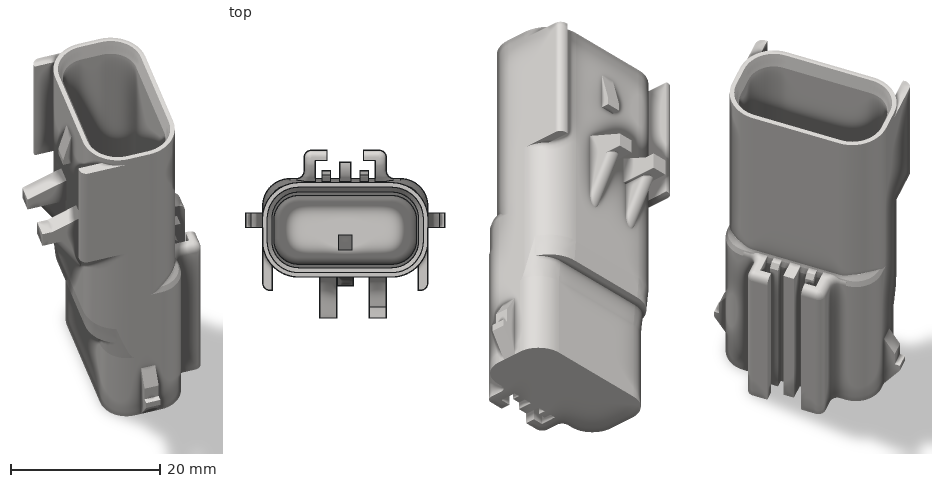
import cadquery as cq
import math

total_height = 50.7
body_width = 22.15

shroud_depth = 12.7
shroud_corner = 4.85
shroud_front = -shroud_depth / 2
shroud_skirt_bottom = 14.5
shroud_skirt_top = 17.5
skirt_draft = 5

housing_front = -4.3
housing_back = 6.9
housing_depth = housing_back - housing_front
housing_center = (housing_front + housing_back) / 2
housing_corner = 3.7
housing_height = 23.0
shoulder_rise = 0.8
shoulder_draft = 20
shoulder_cap_rise = 0.75
shoulder_cap_draft = 36
flare_bottom = 11.45

rim_width = 20.95
rim_depth = 11.45
rim_corner = 4.25
cavity_width = 19.65
cavity_depth = 10.15
cavity_corner = 3.6
lead_in_height = 1.8
cavity_floor = 20.3
island_width = 19.15
island_depth = 9.25
island_corner = 3.35
island_height = 1.5
island_round = 0.85
socket_width = 1.9
socket_length = 2.05
socket_center = -1.65
socket_depth = 2.55

latch_reach = 26.7 / 2
latch_step = 12.6
latch_front = 0.3
latch_width = 2.0
latch_tip_bottom = 3.5
latch_tip_top = 4.45
latch_ramp_bottom = 6.55
latch_top = 8.95

fin_thickness = 1.3
fin_front = -8.1
fin_root = -1.4
fin_round = 1
fin_bottom = 32.25
fin_top = 49.7

key_width = 2.2
key_front = -7.5
key_bottom = 41.25
key_edge = 42.25
key_top = 46.55

hook_front = -11.8
hook_width = 2.35
hook_nose_top = 33.55
left_hook_x = -3.45
left_hook_root_top = 35.6
left_nose_bottom = 31.65
right_hook_x = 3.2
right_hook_root_top = 35.15
right_nose_bottom = 31.3
right_nose_flat_end = -10.35
web_width = 1.9
web_root = 26.55
web_angle = 60

rail_back = 10.7
rail_height = 24.0
rail_outer = 5.55
rail_inner = 4.0
rail_round = 1
lip_inner = 2.45
lip_front = 9.3
center_rib_width = 1.5
center_rib_back = 9.1
small_rib_width = 1.15
small_rib_offset = 2.55
small_rib_back = 7.95
small_rib_chamfer = 0.6

root_overlap = 0.3


def rounded_prism(width, depth, corner, bottom, height, draft=0, center_y=0):
    """Upright rounded-rectangle prism; a positive draft narrows it upwards."""
    outline = cq.Sketch().rect(width, depth).vertices().fillet(corner)
    return (
        cq.Workplane("XY", origin=(0, center_y, bottom))
        .placeSketch(outline)
        .extrude(height, taper=draft)
    )


def block(x_min, x_max, y_min, y_max, z_min, z_max):
    size = (x_max - x_min, y_max - y_min, z_max - z_min)
    return cq.Workplane("XY").box(*size, centered=False).translate((x_min, y_min, z_min))


def side_profile(points, x_min, width):
    """Extrude a (Y, Z) outline along +X."""
    return cq.Workplane("YZ", origin=(x_min, 0, 0)).polyline(points).close().extrude(width)


def both_sides(shape):
    return shape.union(shape.mirror("YZ"))


def make_shroud():
    tube_height = total_height - shroud_skirt_top
    tube = rounded_prism(body_width, shroud_depth, shroud_corner, shroud_skirt_top, tube_height)
    skirt_height = shroud_skirt_top - shroud_skirt_bottom
    skirt = (
        rounded_prism(body_width, shroud_depth, shroud_corner, 0, skirt_height, skirt_draft)
        .mirror("XY")
        .translate((0, 0, shroud_skirt_top))
    )
    return tube.union(skirt)


def make_housing():
    footprint = (body_width, housing_depth, housing_corner)
    lower = rounded_prism(*footprint, 0, housing_height, center_y=housing_center)
    shoulder = rounded_prism(
        *footprint, housing_height, shoulder_rise, shoulder_draft, housing_center
    )
    band_inset = shoulder_rise * math.tan(math.radians(shoulder_draft))
    cap = rounded_prism(
        body_width - 2 * band_inset,
        housing_depth - 2 * band_inset,
        housing_corner - band_inset,
        housing_height + shoulder_rise,
        shoulder_cap_rise,
        shoulder_cap_draft,
        housing_center,
    )
    flare_height = shroud_skirt_top - flare_bottom
    flare = rounded_prism(*footprint, flare_bottom, flare_height, -skirt_draft, housing_center)
    limit = rounded_prism(body_width, shroud_depth, shroud_corner, flare_bottom, flare_height)
    return lower.union(shoulder).union(cap).union(flare.intersect(limit))


def make_cavity():
    bore = rounded_prism(
        cavity_width, cavity_depth, cavity_corner, cavity_floor, total_height - cavity_floor
    )
    lead_in_bottom = total_height - lead_in_height
    lead_in = (
        cq.Workplane("XY", origin=(0, 0, lead_in_bottom))
        .placeSketch(
            cq.Sketch().rect(cavity_width, cavity_depth).vertices().fillet(cavity_corner),
            cq.Sketch().rect(rim_width, rim_depth).vertices().fillet(rim_corner)
            .moved(cq.Location(cq.Vector(0, 0, lead_in_height))),
        )
        .loft()
    )
    island = rounded_prism(
        island_width, island_depth, island_corner, cavity_floor, island_height
    )
    island = island.faces(">Z").edges().fillet(island_round)
    island_top = cavity_floor + island_height
    socket = block(
        -socket_width / 2, socket_width / 2,
        socket_center - socket_length / 2, socket_center + socket_length / 2,
        island_top - socket_depth, island_top,
    )
    return bore.union(lead_in).cut(island).union(socket)


def make_latches():
    wall = body_width / 2
    root = wall - root_overlap
    outline = [
        (root, 0),
        (wall, 0),
        (latch_reach, latch_tip_bottom),
        (latch_reach, latch_tip_top),
        (latch_step, latch_tip_top),
        (latch_step, latch_ramp_bottom),
        (wall, latch_top),
        (root, latch_top),
    ]
    latch = (
        cq.Workplane("XZ", origin=(0, latch_front, 0))
        .polyline(outline)
        .close()
        .extrude(-latch_width)
    )
    return both_sides(latch)


def make_fins():
    wall = body_width / 2
    fin = block(wall - fin_thickness, wall, fin_front, fin_root, fin_bottom, fin_top)
    return both_sides(fin.edges("|Z and >X and <Y").fillet(fin_round))


def make_key():
    root = shroud_front + root_overlap
    outline = [
        (root, key_bottom),
        (key_front, key_bottom),
        (key_front, key_edge),
        (shroud_front, key_top),
        (root, key_top),
    ]
    return side_profile(outline, -key_width / 2, key_width)


def make_hook(x_min, web_x_min, top_line, nose_bottom):
    """Hook on the front wall: a sloped arm carried by a slanted web with a rounded edge."""
    root = shroud_front + root_overlap
    arm = side_profile(
        [
            (root, nose_bottom),
            (hook_front, nose_bottom),
            *top_line,
            (root, top_line[-1][1]),
        ],
        x_min,
        hook_width,
    )
    run = (nose_bottom - web_root) / math.tan(math.radians(web_angle))
    web = side_profile(
        [
            (root, web_root),
            (shroud_front, web_root),
            (shroud_front - run, nose_bottom),
            (root, nose_bottom),
        ],
        web_x_min,
        web_width,
    )
    direction = cq.Vector(
        0, -math.cos(math.radians(web_angle)), math.sin(math.radians(web_angle))
    )
    axis_point = cq.Vector(web_x_min + web_width / 2, shroud_front, web_root)
    length = nose_bottom - shroud_skirt_top
    edge = cq.Workplane(
        cq.Solid.makeCylinder(web_width / 2, 2 * length, axis_point - direction * length, direction)
    )
    trim = block(
        web_x_min, web_x_min + web_width, hook_front, root, shroud_skirt_top, nose_bottom
    )
    return arm.union(web).union(edge.intersect(trim))


def make_rails():
    root = housing_back - rail_round - root_overlap
    flat_end = body_width / 2 - housing_corner
    rail = (
        cq.Workplane("XY")
        .moveTo(rail_inner, root)
        .lineTo(rail_inner, lip_front)
        .lineTo(lip_inner, lip_front)
        .lineTo(lip_inner, rail_back)
        .lineTo(rail_outer - rail_round, rail_back)
        .radiusArc((rail_outer, rail_back - rail_round), rail_round)
        .lineTo(rail_outer, housing_back + rail_round)
        .radiusArc((rail_outer + rail_round, housing_back), -rail_round)
        .lineTo(flat_end, housing_back)
        .lineTo(flat_end, root)
        .close()
        .extrude(rail_height)
    )
    rail = rail.faces(">Z").edges(">Y").fillet(rail_height - housing_height)
    small_rib = block(
        small_rib_offset - small_rib_width / 2, small_rib_offset + small_rib_width / 2,
        root, small_rib_back, 0, rail_height,
    )
    small_rib = small_rib.edges(">Z and >Y").chamfer(small_rib_chamfer)
    center_rib = block(
        -center_rib_width / 2, center_rib_width / 2, root, center_rib_back, 0, rail_height
    )
    return both_sides(rail.union(small_rib)).union(center_rib)


left_hook = make_hook(
    x_min=left_hook_x,
    web_x_min=left_hook_x,
    top_line=[(hook_front, hook_nose_top), (shroud_front, left_hook_root_top)],
    nose_bottom=left_nose_bottom,
)
right_hook = make_hook(
    x_min=right_hook_x,
    web_x_min=right_hook_x + hook_width - web_width,
    top_line=[
        (hook_front, hook_nose_top),
        (right_nose_flat_end, hook_nose_top),
        (shroud_front, right_hook_root_top),
    ],
    nose_bottom=right_nose_bottom,
)

result = (
    make_housing()
    .union(make_shroud())
    .union(make_rails())
    .union(make_fins())
    .cut(make_cavity())
    .union(make_latches())
    .union(make_key())
    .union(left_hook)
    .union(right_hook)
)